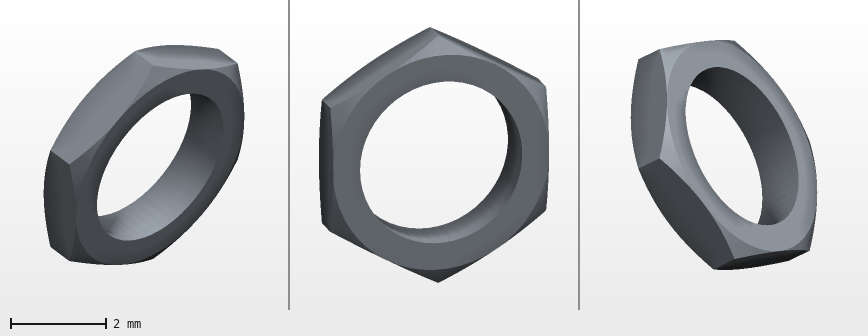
import cadquery as cq
import math

across_corners = 5.48
thickness = 1.02
bore_diameter = 3.57
chamfer_angle = 30.0

corner_radius = across_corners / 2
flat_radius = corner_radius * math.cos(math.radians(30))
half_thickness = thickness / 2
chamfer_slope = math.tan(math.radians(chamfer_angle))


def hexagonal_ring():
    """Hexagonal plate along X with corners on +Z and -Z, and a plain bore."""
    corner_angles = [math.radians(90 + 60 * i) for i in range(6)]
    corners = [(corner_radius * math.cos(a), corner_radius * math.sin(a)) for a in corner_angles]
    plate = cq.Workplane("YZ").polyline(corners).close().extrude(half_thickness, both=True)
    bore = cq.Workplane("YZ").circle(bore_diameter / 2).extrude(half_thickness, both=True)
    return plate.cut(bore)


def chamfer_envelope():
    """Double cone about X whose end circles touch the hexagon's flats."""
    apex_radius = flat_radius + half_thickness / chamfer_slope
    half_profile = [
        (-half_thickness, 0),
        (-half_thickness, flat_radius),
        (0, apex_radius),
        (half_thickness, flat_radius),
        (half_thickness, 0),
    ]
    return cq.Workplane("XY").polyline(half_profile).close().revolve(360, (0, 0, 0), (1, 0, 0))


result = hexagonal_ring().intersect(chamfer_envelope())